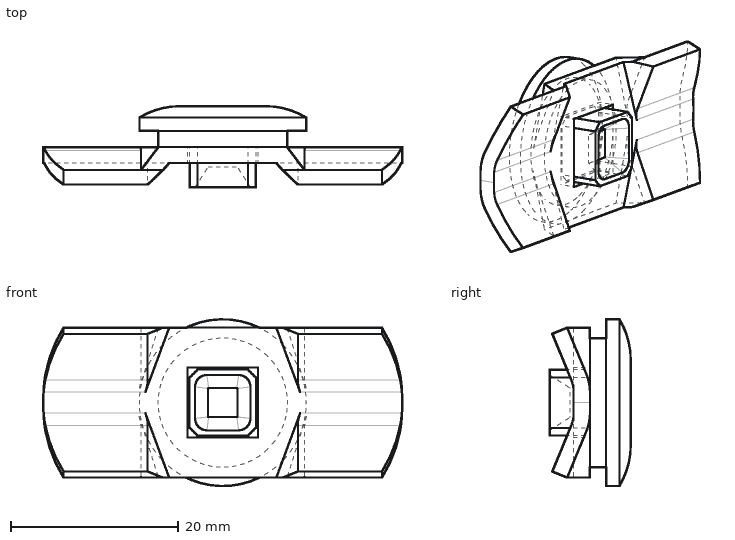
import cadquery as cq
import math


LENGTH = 43.0
HALF_WIDTH = 9.0
THICKNESS = 1.95
END_HALF_LENGTH = 19.05
FLAT_HALF_WIDTH = 1.25
BEND_ANGLE = math.radians(22.5)
BEND_RADIUS_FRONT = 3.85
BEND_RADIUS_BACK = BEND_RADIUS_FRONT + THICKNESS
WEB_FRONT_HUB_X = 6.4
WEB_FRONT_WING_X = 9.0
WEB_BACK_HUB_X = 7.7
WEB_BACK_WING_X = 9.75
HOLE_SIDE = 8.4

HEAD_DIAMETER = 20.0
HEAD_RADIUS = HEAD_DIAMETER / 2
HEAD_RIM = 1.6
CROWN_HEIGHT = 1.38
CROWN_FLAT_RADIUS = 5.15
NECK_RADIUS = 7.75
NECK_LENGTH = 1.95
POST_SIDE = 7.9
POST_CHAMFER = 0.95
POST_PROUD = 2.9
POST_LENGTH = THICKNESS + POST_PROUD
SOCKET_SIDE = 6.6
SOCKET_CORNER = 1.4
SOCKET_FLOOR_SIDE = 3.5
SOCKET_FLOOR_CORNER = 0.05
SOCKET_DEPTH = 2.45

REACH = 2 * LENGTH

SIN = math.sin(BEND_ANGLE)
COS = math.cos(BEND_ANGLE)


def bend_end(radius):
    """(Y, Z) where a bend of this radius runs into the straight wing."""
    y = -BEND_RADIUS_BACK + radius * COS
    z = FLAT_HALF_WIDTH + radius * SIN
    return y, z


BACK_BEND_Y, BACK_BEND_Z = bend_end(BEND_RADIUS_BACK)
WING_LENGTH = (HALF_WIDTH - BACK_BEND_Z) / COS
BEND_LENGTH = (BEND_RADIUS_FRONT + THICKNESS / 2) * BEND_ANGLE
TIP_REACH = FLAT_HALF_WIDTH + BEND_LENGTH + WING_LENGTH


def under_bend(radius, base_y):
    """Prism between the level Y = base_y and the bent surface, for Z >= 0 and X >= 0."""
    end_y, end_z = bend_end(radius)
    mid_y = -BEND_RADIUS_BACK + radius * math.cos(BEND_ANGLE / 2)
    mid_z = FLAT_HALF_WIDTH + radius * math.sin(BEND_ANGLE / 2)
    run = LENGTH / 2
    return (
        cq.Workplane("YZ")
        .moveTo(base_y, FLAT_HALF_WIDTH)
        .threePointArc((mid_y, mid_z), (end_y, end_z))
        .lineTo(end_y - run * SIN, end_z + run * COS)
        .lineTo(base_y, end_z + run * COS)
        .close()
        .extrude(LENGTH)
    )


def beyond_web(hub_x, hub_y, wing_x, radius):
    """Half space outside the web face through a hub corner and a line along the wing."""
    end_y, end_z = bend_end(radius)
    along_wing = cq.Vector(0, -SIN, COS)
    to_hub = cq.Vector(hub_x - wing_x, hub_y - end_y, HALF_WIDTH - end_z)
    normal = to_hub.cross(along_wing)
    if normal.x < 0:
        normal = -normal
    plane = cq.Plane((wing_x, end_y, end_z), along_wing, normal)
    return cq.Workplane(plane).rect(REACH, REACH).extrude(REACH)


def outline_block():
    """Rounded flat outline, cut square to the wing's surface."""
    sag = LENGTH / 2 - END_HALF_LENGTH
    end_radius = (TIP_REACH**2 + sag**2) / (2 * sag)
    middle = FLAT_HALF_WIDTH + BEND_LENGTH
    origin = (0, BACK_BEND_Y + middle * SIN, BACK_BEND_Z - middle * COS)
    plane = cq.Plane(origin, (1, 0, 0), (0, -COS, -SIN))
    disc = cq.Workplane(plane).center(LENGTH / 2 - end_radius, 0).circle(end_radius).extrude(REACH, both=True)
    strip = cq.Workplane(plane).rect(REACH, 2 * TIP_REACH).extrude(REACH, both=True)
    return disc.intersect(strip)


def plate_quarter():
    slab = cq.Workplane("XY").box(LENGTH, THICKNESS, HALF_WIDTH, centered=False).translate((0, -THICKNESS, 0))
    front_web = beyond_web(WEB_FRONT_HUB_X, -THICKNESS, WEB_FRONT_WING_X, BEND_RADIUS_FRONT)
    back_web = beyond_web(WEB_BACK_HUB_X, 0, WEB_BACK_WING_X, BEND_RADIUS_BACK)
    raised = under_bend(BEND_RADIUS_FRONT, -THICKNESS).intersect(front_web)
    hollow = under_bend(BEND_RADIUS_BACK, 0).intersect(back_web)
    width_limit = cq.Workplane("XY").box(REACH, REACH, 2 * HALF_WIDTH)
    return slab.union(raised).cut(hollow).intersect(width_limit).intersect(outline_block())


def make_plate():
    quarter = plate_quarter()
    half = quarter.union(quarter.mirror("YZ"))
    plate = half.union(half.mirror("XY"))
    hole = cq.Workplane("XZ").rect(HOLE_SIDE, HOLE_SIDE).extrude(THICKNESS)
    return plate.cut(hole)


def make_socket():
    """Tapered blind recess in the end of the post."""
    mouth = cq.Sketch().rect(SOCKET_SIDE, SOCKET_SIDE).vertices().fillet(SOCKET_CORNER)
    floor = cq.Sketch().rect(SOCKET_FLOOR_SIDE, SOCKET_FLOOR_SIDE).vertices().fillet(SOCKET_FLOOR_CORNER)
    return (
        cq.Workplane("XZ", origin=(0, -POST_LENGTH, 0))
        .placeSketch(mouth, floor.moved(cq.Location(cq.Vector(0, 0, -SOCKET_DEPTH))))
        .loft()
    )


def make_button():
    rim_y = NECK_LENGTH + HEAD_RIM
    crown_y = rim_y + CROWN_HEIGHT
    crown_run = HEAD_RADIUS - CROWN_FLAT_RADIUS
    crown_radius = (crown_run**2 + CROWN_HEIGHT**2) / (2 * CROWN_HEIGHT)
    half_angle = math.asin(crown_run / crown_radius) / 2
    crown_mid = (
        CROWN_FLAT_RADIUS + crown_radius * math.sin(half_angle),
        crown_y - crown_radius * (1 - math.cos(half_angle)),
    )
    head = (
        cq.Workplane("XY")
        .lineTo(NECK_RADIUS, 0)
        .lineTo(NECK_RADIUS, NECK_LENGTH)
        .lineTo(HEAD_RADIUS, NECK_LENGTH)
        .lineTo(HEAD_RADIUS, rim_y)
        .threePointArc(crown_mid, (CROWN_FLAT_RADIUS, crown_y))
        .lineTo(0, crown_y)
        .close()
        .revolve(360, (0, 0, 0), (0, 1, 0))
    )
    post = (
        cq.Workplane("XZ").rect(POST_SIDE, POST_SIDE).extrude(POST_LENGTH)
        .edges("|Y").chamfer(POST_CHAMFER)
    )
    return head.union(post).cut(make_socket())


plate = make_plate()
button = make_button()
result = cq.Compound.makeCompound([plate.solids().val(), button.solids().val()])